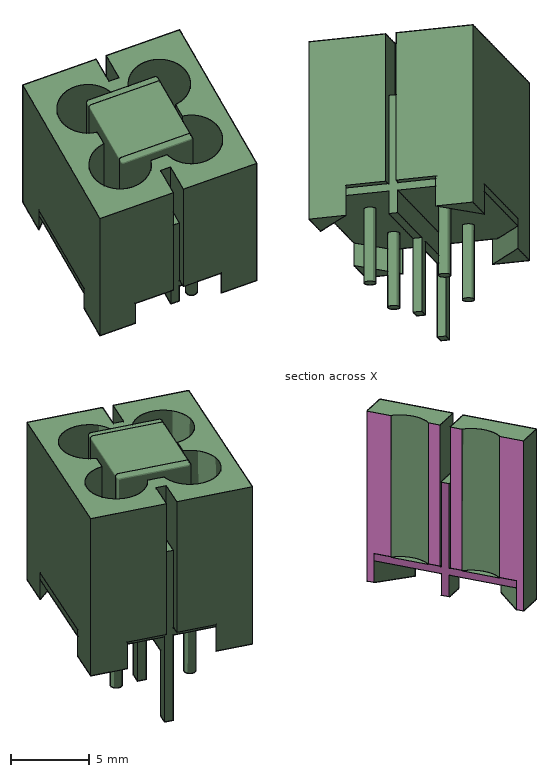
import cadquery as cq

TOTAL_HEIGHT = 17.5
KEY_RISE = 0.5
HOUSING_HEIGHT = 12.0
HOUSING_TOP = TOTAL_HEIGHT - KEY_RISE
HOUSING_BOTTOM = HOUSING_TOP - HOUSING_HEIGHT

HOUSING_X = 12.0
HOUSING_Y = 11.0
NOTCH_HEIGHT = 2.03
NOTCH_TOP = HOUSING_BOTTOM + NOTCH_HEIGHT
LEG_SIDE = 2.5
SLOT_DEPTH = 2.0
SLOT_WIDTH = 0.7

WELL_RADIUS = 2.0
WELL_SPACING = 5.0
CAVITY_X = 6.0
CAVITY_Y = 5.5

KEY_X = 5.74
KEY_Y = 5.0
SLAB_THICKNESS = 0.5
KEY_CORE_X = KEY_X - 2 * SLAB_THICKNESS
KEY_FILLET = 0.2

PLATE_THICKNESS = 0.5
PLATE_BOTTOM = NOTCH_TOP - PLATE_THICKNESS
BLADE_INSET = 0.5
BLADE_SPAN = HOUSING_X - 2 * BLADE_INSET
BLADE_THICKNESS = 0.6
PRONG_WIDTH = SLOT_DEPTH - BLADE_INSET
PRONG_TOP = HOUSING_TOP - 4.0
LEAD_WIDTH = 0.8
SIDE_LEAD_X = (LEAD_WIDTH - BLADE_SPAN) / 2
PIN_DIAMETER = 0.79
PIN_LENGTH = 5.0


def block(size_x, size_y, bottom, top, center_x=0.0):
    """Box centred on Y = 0 that reaches from one height to another."""
    return (
        cq.Workplane("XY", origin=(center_x, 0, bottom))
        .box(size_x, size_y, top - bottom, centered=(True, True, False))
    )


def make_notch(bottom, top):
    """Octagon left by cutting the triangular legs off the housing rectangle."""
    return block(HOUSING_X, HOUSING_Y, bottom, top).edges("|Z").chamfer(LEG_SIDE)


def make_cavity():
    """Volume of the cavity, from the top of the bottom notch to the housing top."""
    wells = (
        cq.Workplane("XY", origin=(0, 0, NOTCH_TOP))
        .rarray(WELL_SPACING, WELL_SPACING, 2, 2)
        .circle(WELL_RADIUS)
        .extrude(HOUSING_TOP - NOTCH_TOP)
    )
    return wells.union(block(CAVITY_X, CAVITY_Y, NOTCH_TOP, HOUSING_TOP))


def make_housing():
    """Block with a cavity through it, two side slots and a notched bottom with four legs."""
    body = block(HOUSING_X, HOUSING_Y, HOUSING_BOTTOM, HOUSING_TOP)
    body = body.cut(make_cavity())
    body = body.cut(make_notch(HOUSING_BOTTOM, NOTCH_TOP))
    for side in (-1, 1):
        slot_x = side * (HOUSING_X - SLOT_DEPTH) / 2
        body = body.cut(block(SLOT_DEPTH, SLOT_WIDTH, HOUSING_BOTTOM, HOUSING_TOP, slot_x))
    return body


def make_key_envelope():
    """Outer shape of the whole key, rounded at its upright and top edges."""
    envelope = block(KEY_X, KEY_Y, NOTCH_TOP, TOTAL_HEIGHT)
    return envelope.edges("|Z or >Z").fillet(KEY_FILLET)


def make_key_core():
    """Middle block of the key."""
    return make_key_envelope().intersect(block(KEY_CORE_X, KEY_Y, NOTCH_TOP, TOTAL_HEIGHT))


def make_key_slab(side):
    """Thin slab on the -X (side = -1) or +X (side = 1) face of the key core."""
    slab_x = side * (KEY_X - SLAB_THICKNESS) / 2
    return make_key_envelope().intersect(
        block(SLAB_THICKNESS, KEY_Y, NOTCH_TOP, TOTAL_HEIGHT, slab_x)
    )


def make_base():
    """Plate that closes the cavity, with prongs, a web, flat leads and round pins."""
    body = make_notch(PLATE_BOTTOM, NOTCH_TOP)
    body = body.intersect(block(BLADE_SPAN, HOUSING_Y, PLATE_BOTTOM, NOTCH_TOP))

    body = body.union(block(BLADE_SPAN, BLADE_THICKNESS, HOUSING_BOTTOM, PLATE_BOTTOM))

    for side in (-1, 1):
        prong_x = side * (BLADE_SPAN - PRONG_WIDTH) / 2
        body = body.union(block(PRONG_WIDTH, BLADE_THICKNESS, NOTCH_TOP, PRONG_TOP, prong_x))

    for lead_x in (SIDE_LEAD_X, 0):
        body = body.union(block(LEAD_WIDTH, BLADE_THICKNESS, 0, HOUSING_BOTTOM, lead_x))

    pins = (
        cq.Workplane("XY", origin=(0, 0, PLATE_BOTTOM))
        .rarray(WELL_SPACING, WELL_SPACING, 2, 2)
        .circle(PIN_DIAMETER / 2)
        .extrude(-PIN_LENGTH)
    )
    return body.union(pins)


housing = make_housing()
key_core = make_key_core()
key_slabs = [make_key_slab(side) for side in (-1, 1)]
base = make_base()

bodies = [housing, key_core, *key_slabs, base]
result = cq.Compound.makeCompound([body.solids().val() for body in bodies])